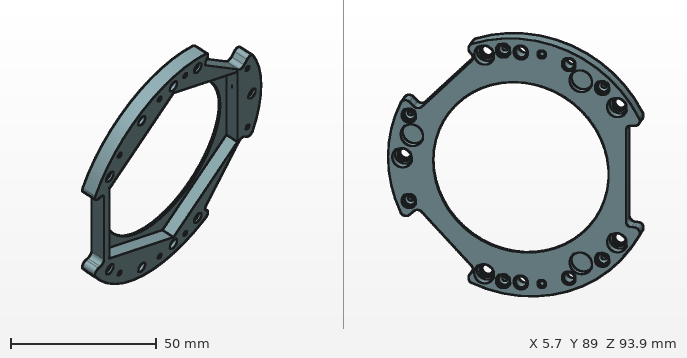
import cadquery as cq
import math

thickness = 5.7
outer_radius = 46.95
bore_radius = 31.0

lip_thickness = 0.75
recess_side_distance = 34.2
recess_slant_distance = 33.2
recess_slant_angle = 60.0

corner_radius = 2.0
side_notch_floor = 37.1
side_notch_half_width = 18.5
side_notch_angle = 180.0
slant_notch_floor = 38.5
slant_notch_angle = 44.0
slant_notch_lower_wall = -12.5
slant_notch_upper_wall = 16.6

bolt_radius = 2.0
bolt_chamfer = 0.6
bolt_recess_radius = 3.5
bolt_recess_depth = 3.9
guide_radius = 1.9
pin_radius = 0.9
pin_chamfer = 0.6
screw_radius = 0.9
screw_chamfer = 1.0
screw_recess_radius = 2.5
screw_recess_depth = 2.0
magnet_radius = 3.9
magnet_depth = 3.0

bolt_circle = 42.0
small_circle = 42.5
magnet_circle = 39.4
bolt_pitch = 360 / 5
recessed_bolt_angles = [-2 * bolt_pitch, -bolt_pitch, 0.0, bolt_pitch, 2 * bolt_pitch]
plain_bolt_angles = [-90.0, 90.0]
screw_angles = [-132.5, -81.5, -21.5, 21.5, 81.5, 132.5]
pin_angles = [-100.0, 100.0]
guide_angles = [-113.5, 113.5]
magnet_angles = [-122.5, 12.5, 122.5]


def notch(floor, lower_wall, upper_wall, angle):
    """Block that cuts the rim beyond `floor` in the direction `angle`."""
    block = (
        cq.Workplane("YZ")
        .moveTo(floor, lower_wall)
        .lineTo(outer_radius, lower_wall)
        .lineTo(outer_radius, upper_wall)
        .lineTo(floor, upper_wall)
        .close()
        .extrude(thickness)
    )
    return block.rotate((0, 0, 0), (1, 0, 0), angle)


def recess():
    """Hexagonal pocket behind the lip."""
    slant = math.radians(recess_slant_angle)
    shoulder = (recess_slant_distance - recess_side_distance * math.cos(slant)) / math.sin(slant)
    peak = recess_slant_distance / math.sin(slant)
    corners = [
        (recess_side_distance, shoulder),
        (0, peak),
        (-recess_side_distance, shoulder),
        (-recess_side_distance, -shoulder),
        (0, -peak),
        (recess_side_distance, -shoulder),
    ]
    return (
        cq.Workplane("YZ")
        .workplane(offset=lip_thickness)
        .polyline(corners)
        .close()
        .extrude(thickness - lip_thickness)
    )


def hole_cutters(circle, angles, radius, depth=thickness, chamfer=0.0, recess_radius=0.0, recess_depth=0.0):
    """Holes along X from the front face: optional flat recess, then a 45 degree chamfer, then the bore."""
    axis = cq.Vector(1, 0, 0)
    cutters = []
    for angle in angles:
        y = circle * math.cos(math.radians(angle))
        z = circle * math.sin(math.radians(angle))
        cutters.append(cq.Solid.makeCylinder(radius, depth, cq.Vector(0, y, z), axis))
        if chamfer:
            mouth = cq.Vector(recess_depth, y, z)
            cutters.append(cq.Solid.makeCone(radius + chamfer, radius, chamfer, mouth, axis))
        if recess_depth:
            cutters.append(cq.Solid.makeCylinder(recess_radius, recess_depth, cq.Vector(0, y, z), axis))
    return cutters


notch_edges = cq.selectors.BoxSelector(
    (-thickness, -outer_radius, -outer_radius),
    (2 * thickness, outer_radius - corner_radius, outer_radius),
)

plate = cq.Workplane("YZ").circle(outer_radius).extrude(thickness)
plate = plate.cut(notch(side_notch_floor, -side_notch_half_width, side_notch_half_width, side_notch_angle))
plate = plate.cut(notch(slant_notch_floor, slant_notch_lower_wall, slant_notch_upper_wall, slant_notch_angle))
plate = plate.cut(notch(slant_notch_floor, -slant_notch_upper_wall, -slant_notch_lower_wall, -slant_notch_angle))
plate = plate.edges("|X").edges(notch_edges).fillet(corner_radius)

bore = cq.Workplane("YZ").circle(bore_radius).extrude(thickness)
plate = plate.cut(bore).cut(recess())

cutters = (
    hole_cutters(bolt_circle, recessed_bolt_angles, bolt_radius, chamfer=bolt_chamfer,
                 recess_radius=bolt_recess_radius, recess_depth=bolt_recess_depth)
    + hole_cutters(bolt_circle, plain_bolt_angles, bolt_radius, chamfer=bolt_chamfer)
    + hole_cutters(small_circle, guide_angles, guide_radius, chamfer=bolt_chamfer)
    + hole_cutters(small_circle, pin_angles, pin_radius, chamfer=pin_chamfer)
    + hole_cutters(small_circle, screw_angles, screw_radius, chamfer=screw_chamfer,
                   recess_radius=screw_recess_radius, recess_depth=screw_recess_depth)
    + hole_cutters(magnet_circle, magnet_angles, magnet_radius, depth=magnet_depth)
)
for cutter in cutters:
    plate = plate.cut(cq.Workplane(cutter))

result = plate